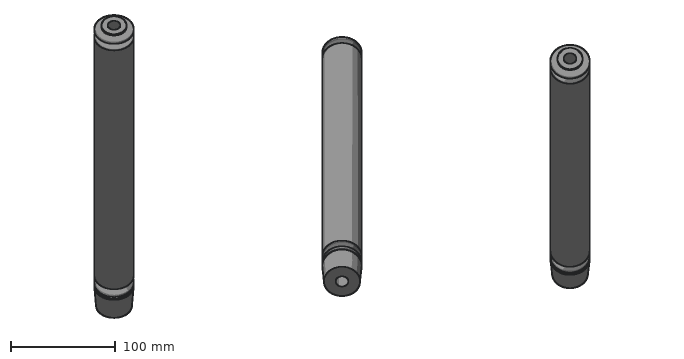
import cadquery as cq

length = 376.0
outer_radius = 38.0 / 2
bore_radius = 12.0 / 2
neck_radius = 24.0 / 2

plug_height = 26.7
plug_bottom_radius = 34.5 / 2
plug_top_radius = 36.5 / 2
plug_chamfer_height = 0.8
plug_neck_radius = 28.2 / 2

collar_rim_height = 2.5
collar_edge_radius = 36.5 / 2
lower_collar_z = 30.5
upper_collar_z = 370.5

barrel_bottom = 39.5
barrel_top = 362.0
barrel_edge_radius = 36.5 / 2
barrel_chamfer_height = 0.8
lower_groove_z = 35.7
upper_groove_z = 365.5

top_neck_height = 2.0


def add_collar_rim(profile, middle_z):
    """Go out to a collar's lower rim edge, then round its bulging rim."""
    half_height = collar_rim_height / 2
    return profile.lineTo(collar_edge_radius, middle_z - half_height).threePointArc(
        (outer_radius, middle_z), (collar_edge_radius, middle_z + half_height)
    )


plug_shoulder = plug_height - plug_chamfer_height
profile = (
    cq.Workplane("XZ")
    .moveTo(bore_radius, 0)
    .lineTo(plug_bottom_radius, 0)
    .lineTo(outer_radius, plug_shoulder)
    .lineTo(plug_top_radius, plug_height)
    .lineTo(plug_neck_radius, plug_height)
)
profile = add_collar_rim(profile, lower_collar_z)
profile = (
    profile.lineTo(neck_radius, lower_groove_z)
    .lineTo(barrel_edge_radius, barrel_bottom)
    .lineTo(outer_radius, barrel_bottom + barrel_chamfer_height)
    .lineTo(outer_radius, barrel_top - barrel_chamfer_height)
    .lineTo(barrel_edge_radius, barrel_top)
    .lineTo(neck_radius, upper_groove_z)
)
profile = add_collar_rim(profile, upper_collar_z)
profile = (
    profile.lineTo(neck_radius, length - top_neck_height)
    .lineTo(neck_radius, length)
    .lineTo(bore_radius, length)
    .close()
)

result = profile.revolve(360, (0, 0, 0), (0, 1, 0))